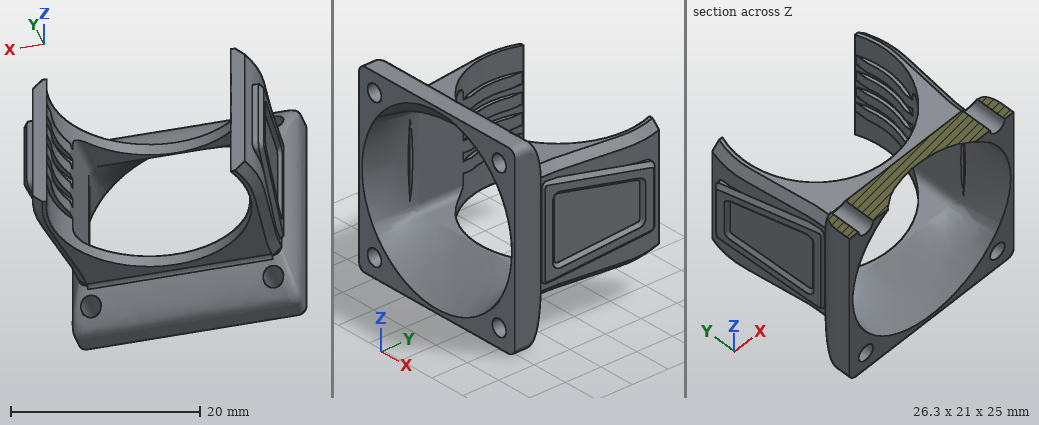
import cadquery as cq
import math


flange_size = 25.0
flange_thickness = 2.0
flange_corner_radius = 1.0
inlet_diameter = 24.0
screw_hole_diameter = 2.2
screw_hole_spacing = 20.0

overall_length = 21.0
body_height = 15.8
body_base_width = 22.3
body_edge_chamfer = 1.0
grip_center_y = 17.0
grip_radius = 10.84
arm_outer_radius = 12.3
arm_angle = 7.0
arm_bend_start_y = 5.4
arm_bend_end_y = 7.35

duct_width = 19.4
duct_height = 13.1
duct_corner_radius = 1.0
duct_start_y = 6.0
flare_end_y = 4.9
flare_steps = 4
flare_root_start_y = 4.7
flare_root_end_y = 5.65
flare_root_rise = 0.45
flare_root_sag = 0.15
flare_root_width = 20.3
flare_overlap = 0.05

tooth_depth = grip_radius - 10.37
tooth_height = 1.5
tooth_pitch = 2.5
tooth_count = 4
top_tooth_z = 4.75
tooth_embed = 0.4
tooth_tip_gap = 20.25

overall_width = 26.27
badge_start_y = 4.7
badge_end_y = 19.4
badge_base_height = 13.0
badge_tip_height = 8.4
badge_corner_radius = 0.8
badge_chamfer = 0.5
badge_thickness = 1.5
pocket_start_y = 6.15
pocket_end_y = 17.9
pocket_base_height = 9.6
pocket_tip_height = 5.8
pocket_corner_radius = 0.9
pocket_depth = 0.45
pocket_wall_taper = 45.0

lean = math.radians(arm_angle)


def rounded_rectangle(y, width, height, radius):
    """Closed outline at a given Y, always started at the same corner so that outlines pair up in a loft."""
    x = width / 2
    z = height / 2
    inset = radius * (1 - math.sqrt(0.5))
    return (
        cq.Workplane("XZ", origin=(0, y, 0))
        .moveTo(radius - x, -z)
        .lineTo(x - radius, -z)
        .threePointArc((x - inset, inset - z), (x, radius - z))
        .lineTo(x, z - radius)
        .threePointArc((x - inset, z - inset), (x - radius, z))
        .lineTo(radius - x, z)
        .threePointArc((inset - x, z - inset), (-x, z - radius))
        .lineTo(-x, radius - z)
        .threePointArc((inset - x, inset - z), (radius - x, -z))
        .close()
    )


def make_flange():
    outline = rounded_rectangle(0, flange_size, flange_size, flange_corner_radius)
    return outline.extrude(-flange_thickness)


def make_flare():
    """Shrinks the flange outline along a parabola until it meets the body."""
    end_width = body_base_width - 2 * flare_overlap
    end_height = body_height - 2 * flare_overlap
    outlines = []
    for step in range(flare_steps + 1):
        travel = step / flare_steps
        shrink = travel**2
        y = flange_thickness + travel * (flare_end_y - flange_thickness)
        width = flange_size - shrink * (flange_size - end_width)
        height = flange_size - shrink * (flange_size - end_height)
        outlines.append(rounded_rectangle(y, width, height, flange_corner_radius).val())
    return cq.Workplane(cq.occ_impl.shapes.loft(*outlines, cap=True, compat=False))


def make_body():
    """Solid block with the outer shape of both arms."""
    base_x = body_base_width / 2
    tangent_x = arm_outer_radius * math.cos(lean)
    tangent_y = grip_center_y - arm_outer_radius * math.sin(lean)
    bend_x = tangent_x - (tangent_y - arm_bend_end_y) * math.tan(lean)
    tip_x = math.sqrt(arm_outer_radius**2 - (overall_length - grip_center_y) ** 2)
    half = (
        cq.Workplane("XY", origin=(0, 0, -body_height / 2))
        .moveTo(0, flange_thickness)
        .lineTo(base_x, flange_thickness)
        .lineTo(base_x, arm_bend_start_y)
        .tangentArcPoint((bend_x, arm_bend_end_y), relative=False)
        .lineTo(tangent_x, tangent_y)
        .threePointArc((arm_outer_radius, grip_center_y), (tip_x, overall_length))
        .lineTo(0, overall_length)
        .close()
        .extrude(body_height)
    )
    outer_edges = half.faces(">Z or <Z").edges().filter(lambda edge: edge.Center().x > duct_width / 2)
    half = half.newObject(outer_edges.vals()).chamfer(body_edge_chamfer)
    return half.union(half.mirror("YZ"))


def make_flare_root():
    """Concave strip that softens the inside corner between the flare and the +Z body face."""
    body_z = body_height / 2
    buried_z = body_z - body_edge_chamfer / 2
    side_plane = cq.Plane((-flare_root_width / 2, 0, 0), (0, 1, 0), (1, 0, 0))
    return (
        cq.Workplane(side_plane)
        .moveTo(flare_root_start_y, buried_z)
        .lineTo(flare_root_start_y, body_z + flare_root_rise)
        .sagittaArc((flare_root_end_y, body_z - flare_overlap), -flare_root_sag)
        .lineTo(flare_root_end_y, buried_z)
        .close()
        .extrude(flare_root_width)
    )


def cut_air_path(part):
    inlet = cq.Sketch().circle(inlet_diameter / 2)
    outlet = cq.Sketch().rect(duct_width, duct_height).vertices().fillet(duct_corner_radius)
    outlet_at_duct = outlet.moved(cq.Location(cq.Vector(0, 0, -duct_start_y)))
    funnel = cq.Workplane("XZ").placeSketch(inlet, outlet_at_duct).loft()
    duct = (
        cq.Workplane("XZ", origin=(0, duct_start_y, 0))
        .placeSketch(outlet)
        .extrude(-(grip_center_y - duct_start_y))
    )
    return part.cut(funnel).cut(duct)


def cut_grip(part):
    bore = (
        cq.Workplane("XY", origin=(0, grip_center_y, -body_height / 2))
        .circle(grip_radius)
        .extrude(body_height)
    )
    return part.cut(bore)


def cut_screw_holes(part):
    holes = (
        cq.Workplane("XZ")
        .rect(screw_hole_spacing, screw_hole_spacing, forConstruction=True)
        .vertices()
        .circle(screw_hole_diameter / 2)
        .extrude(-overall_length)
    )
    return part.cut(holes)


def make_teeth():
    """Square-edged rings around the grip bore, kept only on the arms."""
    root_radius = grip_radius + tooth_embed
    rings = cq.Workplane("XY")
    for index in range(tooth_count):
        bottom_z = top_tooth_z - tooth_height - index * tooth_pitch
        ring = (
            cq.Workplane("XY", origin=(0, grip_center_y, bottom_z))
            .circle(root_radius)
            .circle(grip_radius - tooth_depth)
            .extrude(tooth_height)
        )
        rings = rings.union(ring)
    lower_band = cq.Workplane("XY", origin=(0, grip_center_y / 2, 0))
    lower_gap = lower_band.box(duct_width, grip_center_y, body_height)
    upper_band = cq.Workplane("XY", origin=(0, grip_center_y + overall_length / 2, 0))
    upper_gap = upper_band.box(tooth_tip_gap, overall_length, body_height)
    beyond_tips = cq.Workplane("XY", origin=(0, overall_length * 3 / 2, 0))
    beyond_tips = beyond_tips.box(2 * overall_length, overall_length, body_height)
    return rings.cut(lower_gap).cut(upper_gap).cut(beyond_tips)


def trapezoid(plane, start, end, start_height, end_height):
    return plane.polyline([
        (start, -start_height / 2),
        (end, -end_height / 2),
        (end, end_height / 2),
        (start, start_height / 2),
    ]).close()


def badge_plane():
    """Plane on the outer face of the +X badge, with its local x running from base to tip."""
    tip_y = badge_end_y - badge_chamfer
    face_point = cq.Vector(overall_width / 2, tip_y, 0)
    along = cq.Vector(math.sin(lean), math.cos(lean), 0)
    outward = cq.Vector(math.cos(lean), -math.sin(lean), 0)
    origin = face_point - along * (tip_y / math.cos(lean))
    return cq.Workplane(cq.Plane(origin, along, outward))


def along_arm(y):
    return y / math.cos(lean)


def make_badge():
    """Frame on the +X arm: a chamfered trapezoid with a tapered pocket."""
    start = along_arm(badge_start_y)
    end = along_arm(badge_end_y)
    badge = trapezoid(badge_plane(), start, end, badge_base_height, badge_tip_height)
    badge = badge.extrude(-badge_thickness)
    outward = badge_plane().plane.zDir
    tip_edges = badge.edges(cq.selectors.ParallelDirSelector(outward)).edges(">Y or >>Y[-2]")
    badge = tip_edges.fillet(badge_corner_radius)
    face_edges = badge.faces(cq.selectors.DirectionMinMaxSelector(outward)).edges()
    rim = face_edges.filter(lambda edge: edge.Center().y > badge_start_y + badge_chamfer)
    badge = badge.newObject(rim.vals()).chamfer(badge_chamfer)
    pocket = trapezoid(
        badge_plane(), along_arm(pocket_start_y), along_arm(pocket_end_y), pocket_base_height, pocket_tip_height
    )
    pocket = pocket.extrude(-badge_thickness / 2)
    pocket = pocket.edges(cq.selectors.ParallelDirSelector(outward)).fillet(pocket_corner_radius)
    pocket_mouth = pocket.faces(cq.selectors.DirectionMinMaxSelector(outward)).wires()
    pocket = pocket_mouth.toPending().workplane().extrude(-pocket_depth, taper=pocket_wall_taper, combine=False)
    return badge.cut(pocket)


teeth = make_teeth()
badge = make_badge()
root = make_flare_root()
result = make_flange().union(make_flare()).union(make_body())
result = result.union(root).union(root.mirror("XY"))
result = cut_grip(cut_air_path(result)).union(teeth)
result = cut_screw_holes(result)
result = result.union(badge).union(badge.mirror("YZ"))